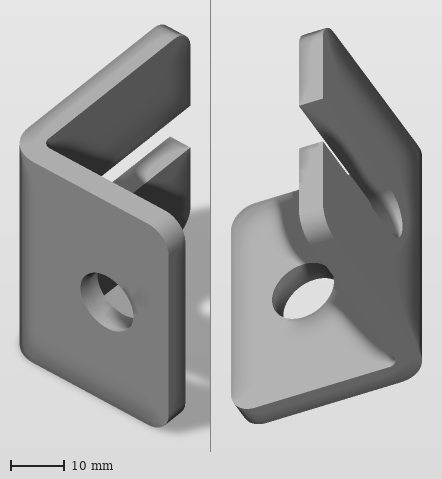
import cadquery as cq

width = 40.0
depth = 49.0
height = 50.0

thickness = 5.0
inner_bend_radius = 2.0
outer_bend_radius = inner_bend_radius + thickness
corner_radius = 5.0

hole_diameter = 12.9
hole_x = 25.0

slot_width = 10.4
slot_end_y = 14.0
slot_center_y = slot_end_y + slot_width / 2

mid_height = height / 2


def bent_plate():
    """L-shaped plate with a rounded bend and rounded free corners."""
    plate = (
        cq.Workplane("XY")
        .moveTo(0, 0)
        .lineTo(width, 0)
        .lineTo(width, thickness)
        .lineTo(thickness, thickness)
        .lineTo(thickness, depth)
        .lineTo(0, depth)
        .close()
        .extrude(height)
    )
    plate = plate.edges(cq.selectors.NearestToPointSelector((0, 0, mid_height))).fillet(outer_bend_radius)
    inner_edge = cq.selectors.NearestToPointSelector((thickness, thickness, mid_height))
    plate = plate.edges(inner_edge).fillet(inner_bend_radius)
    plate = plate.faces(">X").edges("|Y").fillet(corner_radius)
    return plate.faces(">Y").edges("|X").fillet(corner_radius)


def front_hole():
    """Cylinder through the front leg, along Y."""
    return (
        cq.Workplane("XZ")
        .center(hole_x, mid_height)
        .circle(hole_diameter / 2)
        .extrude(-thickness)
    )


def side_slot():
    """Round-ended cutter through the side leg, open at its free edge."""
    half_width = slot_width / 2
    return (
        cq.Workplane("YZ")
        .moveTo(depth, mid_height - half_width)
        .lineTo(slot_center_y, mid_height - half_width)
        .threePointArc((slot_end_y, mid_height), (slot_center_y, mid_height + half_width))
        .lineTo(depth, mid_height + half_width)
        .close()
        .extrude(thickness)
    )


result = bent_plate().cut(front_hole()).cut(side_slot())